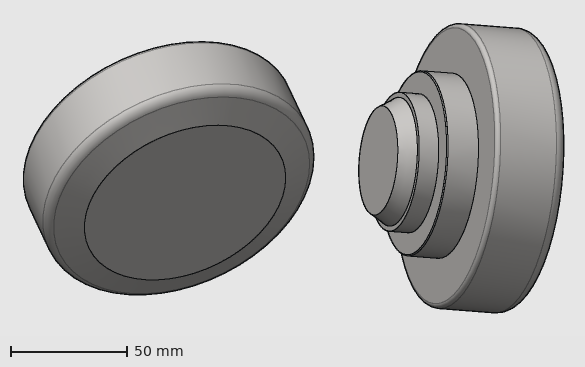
import cadquery as cq
import math

total_length = 67.8

nose_length = 7.4
nose_tip_diameter = 47.1
taper_angle = 30
nose_tip_radius = nose_tip_diameter / 2
nose_root_radius = nose_tip_radius + nose_length * math.tan(math.radians(taper_angle))

spigot_radius = 60.0 / 2
collar_radius = 80 / 2
collar_start = 16.4
collar_chamfer = 0.5

wheel_radius = 123 / 2
wheel_start = 30.9
wheel_front_fillet = 2.0
wheel_back_fillet = 5.0
back_face_radius = 45.8
back_slope = 20
back_cone_length = (wheel_radius - back_face_radius) * math.tan(math.radians(back_slope))
back_cone_start = total_length - back_cone_length

back_tangent_length = wheel_back_fillet * math.tan(math.radians(90 - back_slope) / 2)
rounding_start = back_cone_start - back_tangent_length
rounding_angle = math.radians(90 - back_slope)
rounding_center_radius = wheel_radius - wheel_back_fillet


def back_rounding_point(angle):
    """Point on the back rounding, at an angle turned from the rim."""
    return (
        rounding_start + wheel_back_fillet * math.sin(angle),
        rounding_center_radius + wheel_back_fillet * math.cos(angle),
    )


front_sagitta = wheel_front_fillet * (1 - math.sqrt(0.5))

half_section = (
    cq.Workplane("XY")
    .moveTo(0, 0)
    .lineTo(0, nose_tip_radius)
    .lineTo(nose_length, nose_root_radius)
    .lineTo(nose_length, spigot_radius)
    .lineTo(collar_start, spigot_radius)
    .lineTo(collar_start, collar_radius - collar_chamfer)
    .lineTo(collar_start + collar_chamfer, collar_radius)
    .lineTo(wheel_start, collar_radius)
    .lineTo(wheel_start, wheel_radius - wheel_front_fillet)
    .threePointArc(
        (wheel_start + front_sagitta, wheel_radius - front_sagitta),
        (wheel_start + wheel_front_fillet, wheel_radius),
    )
    .lineTo(rounding_start, wheel_radius)
    .threePointArc(
        back_rounding_point(rounding_angle / 2),
        back_rounding_point(rounding_angle),
    )
    .lineTo(total_length, back_face_radius)
    .lineTo(total_length, 0)
    .close()
)

result = half_section.revolve(360, (0, 0, 0), (1, 0, 0))